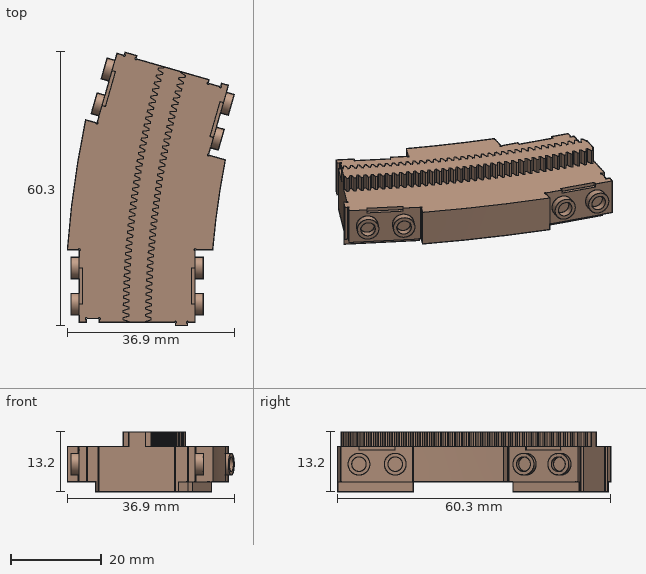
import cadquery as cq
import math


stud_pitch = 8.0
bend_radius = 202.6
bend_angle = 16.0

frame_height = 2.2
body_height = 7.8
rack_height = 3.2
body_top = frame_height + body_height

body_width = 4 * stud_pitch
end_width = 25.6
end_length = 2 * stud_pitch

frame_width = 18.3
frame_wall = 1.1

pin_diameter = 4.8
pin_bore = 3.2
pin_length = 1.8
pin_positions = [stud_pitch / 2, stud_pitch * 3 / 2]
pin_height = frame_height + body_height / 2

recess_length = stud_pitch
recess_width = 0.8
recess_depth = 0.75

joint_offset = 9.78
tab_width = 2.7
tab_length = 0.71
groove_width = 2.8
groove_depth = 0.8
relief_radius = 0.2

tooth_count = 36
rack_pitch_offset = 2.5
addendum = 0.6
dedendum = 0.65
pressure_angle = 18.0


def box(x_start, x_end, y_start, y_end, z_start, z_end):
    size = (x_end - x_start, y_end - y_start, z_end - z_start)
    return cq.Workplane("XY").box(*size, centered=False).translate((x_start, y_start, z_start))


def bend_point(offset, angle):
    """Point at a distance across the centreline (towards +X) and an angle along the bend."""
    turn = math.radians(angle)
    radius = bend_radius - offset
    return (bend_radius - radius * math.cos(turn), radius * math.sin(turn))


def place_at_far_end(shape):
    """Move a shape from the start end to the far end, facing the other way."""
    turned = shape.rotate((0, 0, 0), (0, 0, 1), 180)
    return turned.rotate((bend_radius, 0, 0), (bend_radius, 0, 1), -bend_angle)


def make_curved_body():
    """Sector-shaped slab that follows the bend at full width."""
    half = body_width / 2
    middle = bend_angle / 2
    return (
        cq.Workplane("XY")
        .workplane(offset=frame_height)
        .moveTo(*bend_point(-half, 0))
        .threePointArc(bend_point(-half, middle), bend_point(-half, bend_angle))
        .lineTo(*bend_point(half, bend_angle))
        .threePointArc(bend_point(half, middle), bend_point(half, 0))
        .close()
        .extrude(body_height)
    )


def make_rack():
    """Bar with teeth on both sides; each end of the bar falls halfway across a tooth gap."""
    tooth_angle = bend_angle / tooth_count
    flank_slope = math.tan(math.radians(pressure_angle))

    def tooth_row(side):
        radius = bend_radius - side * rack_pitch_offset
        half_thickness = radius * math.radians(tooth_angle) / 4
        half_tip = math.degrees((half_thickness - addendum * flank_slope) / radius)
        half_root = math.degrees((half_thickness + dedendum * flank_slope) / radius)
        tip = side * (rack_pitch_offset + addendum)
        root = side * (rack_pitch_offset - dedendum)
        points = [bend_point(root, 0)]
        for tooth in range(tooth_count):
            centre = (tooth + 0.5) * tooth_angle
            points.append(bend_point(root, centre - half_root))
            points.append(bend_point(tip, centre - half_tip))
            points.append(bend_point(tip, centre + half_tip))
            points.append(bend_point(root, centre + half_root))
        points.append(bend_point(root, bend_angle))
        return points

    outline = tooth_row(-1) + tooth_row(1)[::-1]
    return cq.Workplane("XY").workplane(offset=body_top).polyline(outline).close().extrude(rack_height)


def make_end_frame():
    """Three-sided wall below the body, open towards the middle of the track."""
    half = frame_width / 2
    inner = half - frame_wall
    frame = box(-half, half, 0, end_length, 0, frame_height)
    return frame.cut(box(-inner, inner, frame_wall, end_length, 0, frame_height))


def make_tab():
    """Tab on the end face; only the part within the frame width reaches the underside."""
    start = joint_offset - tab_width / 2
    end = joint_offset + tab_width / 2
    upper = box(start, end, -tab_length, 0, frame_height, body_top)
    lower = box(start, frame_width / 2, -tab_length, 0, 0, frame_height)
    return upper.union(lower)


def make_pins():
    """Hollow pins standing out from both side walls of an end."""
    wall = end_width / 2
    pins = cq.Workplane("XY")
    for side in (-1, 1):
        for position in pin_positions:
            pin = (
                cq.Workplane("YZ", origin=(side * wall, position, pin_height))
                .circle(pin_diameter / 2)
                .circle(pin_bore / 2)
                .extrude(side * pin_length)
            )
            pins = pins.add(pin)
    return pins.combine()


def make_side_notches():
    """Material removed beside both side walls of an end, reaching past the curved flanks."""
    wall = end_width / 2
    right = box(wall, body_width, 0, end_length, 0, body_top)
    return right.union(right.mirror("YZ"))


def make_recesses():
    """Long shallow recesses in the top edge of both side walls."""
    wall = end_width / 2
    start = end_length / 2 - recess_length / 2
    right = box(wall - recess_width, wall, start, start + recess_length, body_top - recess_depth, body_top)
    return right.union(right.mirror("YZ"))


def make_groove():
    """Full-height slot in the end face that takes the tab of the next track."""
    centre = -joint_offset
    half = groove_width / 2
    return box(centre - half, centre + half, 0, groove_depth, 0, body_top)


def make_corner_reliefs():
    """Small round clearances along the inner corners of an end."""
    corners = []
    for side in (-1, 1):
        corners.append((side * end_width / 2, end_length))
        corners.append((-joint_offset + side * groove_width / 2, groove_depth))
        corners.append((joint_offset + side * tab_width / 2, 0))
    return cq.Workplane("XY").pushPoints(corners).circle(relief_radius).extrude(body_top)


def finish_end(track, place):
    """Shape one end of the track; `place` moves a shape from the end frame to that end."""
    for cutter in (make_side_notches(), make_recesses()):
        track = track.cut(place(cutter))
    for addition in (make_end_frame(), make_tab(), make_pins()):
        track = track.union(place(addition))
    for cutter in (make_groove(), make_corner_reliefs()):
        track = track.cut(place(cutter))
    return track


track = make_curved_body().union(make_rack())
track = finish_end(track, lambda shape: shape)
track = finish_end(track, place_at_far_end)

result = track